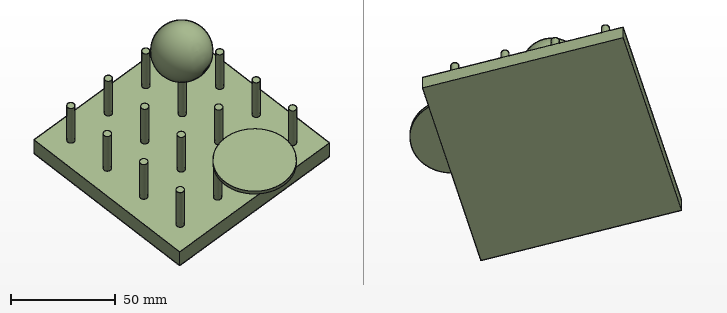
import cadquery as cq

overall_length = 120.0
overall_height = 90.0
base_thickness = 10.0
pins_per_side = 4
pin_diameter = 4.0
pin_height = 25.0
disc_diameter = 40.0
disc_thickness = 2.0
ball_diameter = 30.0

base_side = overall_length - disc_diameter / 2
pin_pitch = base_side / pins_per_side
disc_center_x = base_side / 2
pin_top_z = base_thickness + pin_height
ball_center_z = overall_height - ball_diameter / 2


def make_base():
    """Square plate centred on the Z axis with its underside at Z = 0."""
    return cq.Workplane("XY").box(base_side, base_side, base_thickness, centered=(True, True, False))


def make_pins():
    """Square grid of upright pins standing on the base."""
    return (
        cq.Workplane("XY", origin=(0, 0, base_thickness))
        .rarray(pin_pitch, pin_pitch, pins_per_side, pins_per_side)
        .circle(pin_diameter / 2)
        .extrude(pin_height)
    )


def make_disc():
    """Flat disc resting on the two middle pins of the +X row."""
    return (
        cq.Workplane("XY", origin=(disc_center_x, 0, pin_top_z))
        .circle(disc_diameter / 2)
        .extrude(disc_thickness)
    )


def make_pin_board():
    """Base, pins and disc joined into a single solid."""
    return make_base().union(make_pins()).union(make_disc())


def make_ball():
    """Free ball above the centre of the base."""
    return cq.Workplane("XY", origin=(0, 0, ball_center_z)).sphere(ball_diameter / 2)


pin_board = make_pin_board().solids()
ball = make_ball()

result = cq.Compound.makeCompound([pin_board.val(), ball.val()])